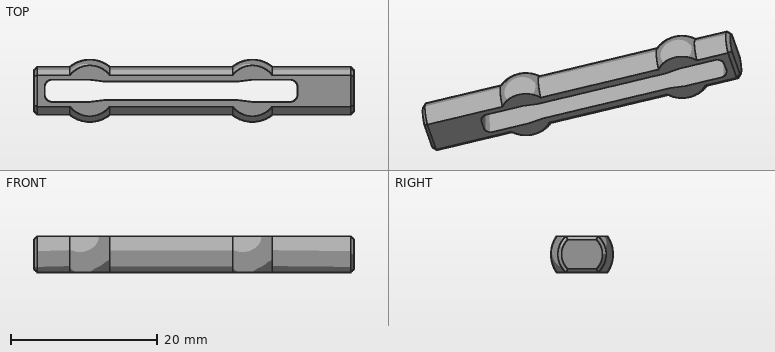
import cadquery as cq

LENGTH = 43.75
ROD_RADIUS = 3.3
FLAT_HEIGHT = 5.0
END_CHAMFER = 0.5

BULGE_RADIUS = 4.275
FIRST_BULGE_X = 7.65
BULGE_SPACING = 22.2
BULGE_XS = (FIRST_BULGE_X, FIRST_BULGE_X + BULGE_SPACING)

SLOT_START_X = 1.5
SLOT_END_X = 36.0
SLOT_END_WIDTH = 3.0
SLOT_MIDDLE_WIDTH = 2.5
SLOT_CORNER_RADIUS = 1.0
TAPER_LENGTH = 2.0


def make_rod():
    """Round bar with two flats, chamfered all round at both ends."""
    round_bar = cq.Workplane("YZ").circle(ROD_RADIUS).extrude(LENGTH)
    return flatten(round_bar).faces("<X or >X").chamfer(END_CHAMFER)


def flatten(body):
    """Keep only the part of the body between the two flats."""
    slab = cq.Workplane("XY").box(
        LENGTH, 2 * BULGE_RADIUS, FLAT_HEIGHT, centered=(False, True, True)
    )
    return body.intersect(slab)


def make_bulge(x):
    """Sphere centred on the rod axis, cut by the same flats as the rod."""
    sphere = cq.Workplane("XY").sphere(BULGE_RADIUS).translate((x, 0, 0))
    return flatten(sphere)


def make_slot():
    """Slot cutter with rounded corners and a tapered step to the narrow middle."""
    wide = SLOT_END_WIDTH / 2
    narrow = SLOT_MIDDLE_WIDTH / 2
    first_taper_x, last_taper_x = BULGE_XS
    upper_edge = [
        (SLOT_START_X, wide),
        (first_taper_x, wide),
        (first_taper_x + TAPER_LENGTH, narrow),
        (last_taper_x - TAPER_LENGTH, narrow),
        (last_taper_x, wide),
        (SLOT_END_X, wide),
    ]
    lower_edge = [(x, -y) for x, y in reversed(upper_edge)]
    slot = (
        cq.Workplane("XY")
        .polyline(upper_edge + lower_edge)
        .close()
        .extrude(FLAT_HEIGHT / 2, both=True)
    )
    end_corners = slot.faces("<X or >X").edges("|Z")
    return end_corners.fillet(SLOT_CORNER_RADIUS)


result = make_rod()
for bulge_x in BULGE_XS:
    result = result.union(make_bulge(bulge_x))
result = result.cut(make_slot())